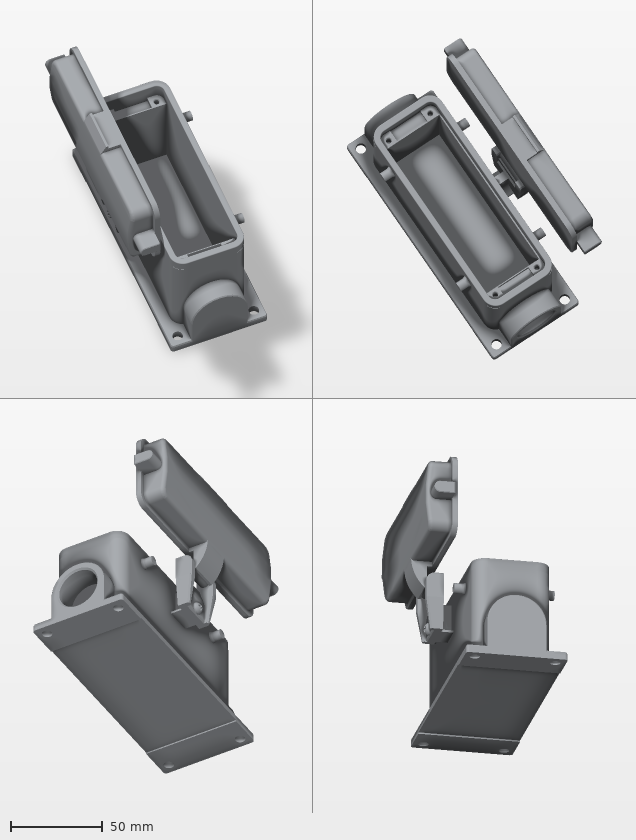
import cadquery as cq
import math


OVERLAP = 0.7

BASE_LENGTH = 144.0
BASE_WIDTH = 56.7
BASE_HEIGHT = 4.6
BASE_CORNER = 1.7
BASE_EDGE = 0.9
BASE_EDGE_INSET = 0.5
FOOT_RELIEF_LENGTH = 103.1
FOOT_RELIEF_DEPTH = 0.9
MOUNT_HOLE_X = 66.1
MOUNT_HOLE_Y = 22.5
MOUNT_HOLE_DIAMETER = 5.8

BOX_LENGTH = 120.5
BOX_WIDTH = 43.3
BOX_TOP = 60.9
BOX_CORNER = 7.5
COLLAR_CORNER = 7.9
COLLAR_BOTTOM = 55.5
RIM_EDGE = 0.5

MOUTH_LENGTH = 112.6
MOUTH_WIDTH = 36.3
MOUTH_CORNER = 4.3
SHELF_DROP = 8.6
SHELF_Z = BOX_TOP - SHELF_DROP
WELL_LENGTH = 97.3
WELL_STEP = 0.9
WELL_FLOOR = BASE_HEIGHT
SHELF_NOTCH_WIDTH = 19.9
SHELF_NOTCH_DEPTH = 2.9
SHELF_NOTCH_LIP = 0.6
SHELF_HOLE_X = 52.0
SHELF_HOLE_Y = 13.7
SHELF_HOLE_DIAMETER = 2.9
SHELF_HOLE_DEPTH = 8.6
SHELF_HOLE_FLARE = 0.5

HUB_AXIS_Z = 19.5
HUB_RADIUS = 16.5
HUB_EDGE = 0.6
ENTRY_RADIUS = 12.0
ENTRY_DEPTH = 15.1
ENTRY_CHAMFER = 1.0

PEG_X = 37.0
PEG_Z = 51.1
PEG_RADIUS = 2.7
PEG_END_Y = 28.0
PEG_ROOT_RADIUS = 3.3
PEG_ROOT_LENGTH = 1.6

BRACKET_BACK_Y = -28.4
BRACKET_FRONT_Y = -38.0
BRACKET_FOOT_Y = -35.3
BRACKET_BOTTOM = 36.9
BRACKET_BEND_Z = 54.6
BRACKET_TOP = 69.1
BRACKET_TOP_ROUND = 5.0
BRACKET_HALF_TOP = 14.0
BRACKET_HALF_BOTTOM = 11.7
HINGE_HALF_WIDTH = 8.8
CHEEK_CHAMFER = 0.9

PAD_Y = -33.4
PAD_TOP = 48.4
PAD_CHAMFER = 0.7
SEAT_STEPS = [(-32.7, 52.0), (-30.8, 57.5), (-30.4, 59.5)]
SEAT_BACK_Y = -29.5

SCREW_Z = 40.9
SCREW_RADIUS = 3.5
SCREW_RIM = 0.9
SCREW_TIP_Y = -36.6
CROSS_LENGTH = 4.3
CROSS_WIDTH = 1.3
CROSS_DEPTH = 1.2

ARM_HALF_WIDTH = 7.6
ARM_RIB_HALF = 2.5
ARM_PLATE = 1.3
ARM_ROOT_ROUND = 4.0
ARM_TOP = 54.7

COVER_Z = 97.3
FLANGE_LENGTH = 122.4
FLANGE_HEIGHT = 46.4
FLANGE_CORNER = 7.2
FLANGE_BACK_Y = -30.7
FLANGE_FRONT_Y = -33.8
SHELL_LENGTH = 115.8
SHELL_HEIGHT = 40.9
SHELL_CORNER = 5.0
SHELL_EDGE = 2.2
SHELL_ROOT = 0.5
CROWN_Y = -47.8
CROWN_DROP = 2.3

EAR_END_X = 68.8
EAR_RADIUS = 3.3
EAR_TIP_Y = -45.4
EAR_EDGE = 0.5

TOOTH_HALF_WIDTH = 12.1
TOOTH_FOOT_Z = 117.4
TOOTH_TOP = 122.5
TOOTH_BACK_Y = -40.9
TOOTH_FRONT_Y = -42.3

LEAF_BACK_Y = -36.6
LEAF_MIDDLE = (-43.3, 68.8)
LEAF_TIP = (-38.0, 61.6)
KNUCKLE_Y = -33.4
KNUCKLE_Z = 65.2
KNUCKLE_RADIUS = 3.5


def upright_block(length, width, bottom, top, corner):
    """Rounded block centred on the Z axis."""
    block = cq.Workplane("XY").workplane(offset=bottom).rect(length, width).extrude(top - bottom)
    return block.edges("|Z").fillet(corner)


def cover_block(length, height, back, front, corner):
    """Rounded block in the cover, growing towards -Y."""
    plane = cq.Workplane("XZ", origin=(0, back, COVER_Z))
    return plane.rect(length, height).extrude(back - front).edges("|Y").fillet(corner)


def across(points, half_width):
    """Prism along X from (Y, Z) points."""
    return cq.Workplane("YZ").polyline(points).close().extrude(half_width, both=True)


def base_plate():
    slope_angle = math.degrees(math.atan2(BASE_EDGE_INSET, BASE_EDGE))
    plate = upright_block(BASE_LENGTH, BASE_WIDTH, 0, BASE_HEIGHT - BASE_EDGE, BASE_CORNER)
    plate = plate.faces(">Z").wires().toPending().extrude(BASE_EDGE, taper=slope_angle)
    relief = cq.Workplane("XY").rect(FOOT_RELIEF_LENGTH, BASE_WIDTH).extrude(FOOT_RELIEF_DEPTH)
    holes = cq.Workplane("XY").rect(2 * MOUNT_HOLE_X, 2 * MOUNT_HOLE_Y, forConstruction=True).vertices()
    return plate.cut(relief).cut(holes.circle(MOUNT_HOLE_DIAMETER / 2).extrude(BASE_HEIGHT))


def hub(side):
    """Round-topped hub from inside the box wall out to the end of the base."""
    bottom = BASE_HEIGHT - BASE_EDGE
    wall_x = BOX_LENGTH / 2 - OVERLAP
    profile = (
        cq.Workplane("YZ", origin=(side * wall_x, 0, 0))
        .moveTo(-HUB_RADIUS, bottom)
        .lineTo(-HUB_RADIUS, HUB_AXIS_Z)
        .threePointArc((0, HUB_AXIS_Z + HUB_RADIUS), (HUB_RADIUS, HUB_AXIS_Z))
        .lineTo(HUB_RADIUS, bottom)
        .close()
    )
    solid = profile.extrude(side * (BASE_LENGTH / 2 - wall_x))
    end_face = solid.faces(">X" if side > 0 else "<X")
    return end_face.edges("not <Z").chamfer(HUB_EDGE)


def cable_entry():
    """Blind round entry with a chamfered mouth, opening at the -X end."""
    mouth = cq.Workplane("YZ", origin=(-BASE_LENGTH / 2, 0, HUB_AXIS_Z))
    bore = mouth.circle(ENTRY_RADIUS).extrude(ENTRY_DEPTH)
    flare = mouth.circle(ENTRY_RADIUS + ENTRY_CHAMFER).extrude(ENTRY_CHAMFER, taper=45)
    return bore.union(flare)


def housing_box():
    box = upright_block(BOX_LENGTH, BOX_WIDTH, BASE_HEIGHT - OVERLAP, COLLAR_BOTTOM, BOX_CORNER)
    collar = upright_block(BOX_LENGTH, BOX_WIDTH, COLLAR_BOTTOM, BOX_TOP, COLLAR_CORNER)
    mouth = upright_block(MOUTH_LENGTH, MOUTH_WIDTH, SHELF_Z, BOX_TOP, MOUTH_CORNER)
    box = box.union(collar).cut(mouth)
    return box.faces(">Z").edges().fillet(RIM_EDGE)


def cavity_well():
    """Deep well between the end shelves, with the notches and screw holes of the shelves."""
    depth = SHELF_Z - WELL_FLOOR
    shelf = cq.Workplane("XY").workplane(offset=SHELF_Z)
    well_width = MOUTH_WIDTH - WELL_STEP
    well = shelf.center(0, WELL_STEP / 2).rect(WELL_LENGTH, well_width).extrude(-depth)
    notch_end = WELL_LENGTH / 2 + SHELF_NOTCH_LIP
    for side in (-1, 1):
        notch_length = MOUTH_LENGTH / 2 - notch_end
        notch = shelf.center(side * (notch_end + notch_length / 2), 0).rect(notch_length, SHELF_NOTCH_WIDTH)
        well = well.union(notch.extrude(-SHELF_NOTCH_DEPTH))
    hole_radius = SHELF_HOLE_DIAMETER / 2
    holes = shelf.rect(2 * SHELF_HOLE_X, 2 * SHELF_HOLE_Y, forConstruction=True).vertices()
    flares = holes.circle(hole_radius + SHELF_HOLE_FLARE).extrude(-SHELF_HOLE_FLARE, taper=45)
    return well.union(holes.circle(hole_radius).extrude(-SHELF_HOLE_DEPTH)).union(flares)


def peg(x, side):
    """Locking peg with a conical root."""
    wall = BOX_WIDTH / 2
    half_profile = [
        (0, wall - OVERLAP),
        (PEG_ROOT_RADIUS, wall - OVERLAP),
        (PEG_ROOT_RADIUS, wall),
        (PEG_RADIUS, wall + PEG_ROOT_LENGTH),
        (PEG_RADIUS, PEG_END_Y),
        (0, PEG_END_Y),
    ]
    turned = cq.Workplane("XY").polyline(half_profile).close().revolve(360, (0, 0, 0), (0, 1, 0))
    if side < 0:
        turned = turned.mirror("XZ")
    return turned.translate((x, 0, PEG_Z))


def bracket():
    """Two tapered cheeks joined by a web with a screw pad and a seat above it."""
    side_profile = [
        (BRACKET_BACK_Y, BRACKET_BOTTOM),
        (BRACKET_FOOT_Y, BRACKET_BOTTOM),
        (BRACKET_FRONT_Y, BRACKET_BEND_Z),
        (BRACKET_FRONT_Y, BRACKET_TOP),
        (BRACKET_BACK_Y, BRACKET_TOP),
    ]
    body = across(side_profile, BRACKET_HALF_TOP)
    body = body.edges("|X and >Z and <Y").fillet(BRACKET_TOP_ROUND)
    outline = (
        cq.Workplane("XZ")
        .moveTo(-BRACKET_HALF_BOTTOM, BRACKET_BOTTOM)
        .lineTo(BRACKET_HALF_BOTTOM, BRACKET_BOTTOM)
        .lineTo(BRACKET_HALF_TOP, BRACKET_BEND_Z)
        .lineTo(BRACKET_HALF_TOP, BRACKET_TOP)
        .lineTo(-BRACKET_HALF_TOP, BRACKET_TOP)
        .lineTo(-BRACKET_HALF_TOP, BRACKET_BEND_Z)
        .close()
        .extrude(-BRACKET_FRONT_Y)
    )
    gap = cq.Workplane("XY").box(2 * HINGE_HALF_WIDTH, BASE_LENGTH, BASE_LENGTH)
    cheeks = body.intersect(outline).cut(gap)
    front = cq.selectors.BoxSelector(
        (-BASE_LENGTH, BRACKET_FRONT_Y - OVERLAP, BRACKET_BOTTOM + OVERLAP),
        (BASE_LENGTH, BRACKET_FOOT_Y - OVERLAP, BRACKET_TOP - BRACKET_TOP_ROUND),
    )
    cheeks = cheeks.edges(front).edges("not |X").chamfer(CHEEK_CHAMFER)

    web_profile = [
        (BRACKET_BACK_Y, BRACKET_BOTTOM),
        (PAD_Y + PAD_CHAMFER, BRACKET_BOTTOM),
        (PAD_Y, BRACKET_BOTTOM + PAD_CHAMFER),
        (PAD_Y, PAD_TOP),
        *SEAT_STEPS,
        (SEAT_BACK_Y, SEAT_STEPS[-1][1]),
        (SEAT_BACK_Y, ARM_TOP),
        (BRACKET_BACK_Y, ARM_TOP),
    ]
    return cheeks.union(across(web_profile, HINGE_HALF_WIDTH))


def bracket_screw():
    """Domed screw head with a cross recess."""
    rim_y = PAD_Y - SCREW_RIM
    dome_height = rim_y - SCREW_TIP_Y
    dome_radius = (SCREW_RADIUS**2 + dome_height**2) / (2 * dome_height)
    half_angle = math.asin(SCREW_RADIUS / dome_radius) / 2
    dome_middle = (
        dome_radius * math.sin(half_angle),
        SCREW_TIP_Y + dome_radius * (1 - math.cos(half_angle)),
    )
    head = (
        cq.Workplane("XY")
        .moveTo(0, PAD_Y + OVERLAP)
        .lineTo(SCREW_RADIUS, PAD_Y + OVERLAP)
        .lineTo(SCREW_RADIUS, rim_y)
        .threePointArc(dome_middle, (0, SCREW_TIP_Y))
        .close()
        .revolve(360, (0, 0, 0), (0, 1, 0))
    )
    for length, height in ((CROSS_LENGTH, CROSS_WIDTH), (CROSS_WIDTH, CROSS_LENGTH)):
        slot = cq.Workplane("XZ", origin=(0, SCREW_TIP_Y, 0)).rect(length, height)
        head = head.cut(slot.extrude(-CROSS_DEPTH))
    return head.translate((0, 0, SCREW_Z))


def bracket_arm():
    """Upright rib on a flat plate, with hollow rounds in both corners."""
    wall = -BOX_WIDTH / 2 + OVERLAP
    length = wall - BRACKET_BACK_Y + OVERLAP
    height = ARM_TOP - BRACKET_BOTTOM
    start = cq.Workplane("XZ", origin=(0, wall, BRACKET_BOTTOM))
    plate = start.center(0, ARM_PLATE / 2).rect(2 * ARM_HALF_WIDTH, ARM_PLATE).extrude(length)
    rib = start.center(0, height / 2).rect(2 * ARM_RIB_HALF, height).extrude(length)
    corners = cq.selectors.BoxSelector(
        (-ARM_RIB_HALF - OVERLAP, BRACKET_BACK_Y - 2 * OVERLAP, BRACKET_BOTTOM + ARM_PLATE / 2),
        (ARM_RIB_HALF + OVERLAP, wall, BRACKET_BOTTOM + 2 * ARM_PLATE),
    )
    return plate.union(rib).edges("|Y").edges(corners).fillet(ARM_ROOT_ROUND)


def crown_point(z):
    """Point (Y, Z) on the arc of the cover front."""
    half_height = SHELL_HEIGHT / 2
    radius = (half_height**2 + CROWN_DROP**2) / (2 * CROWN_DROP)
    return (CROWN_Y + radius - math.sqrt(radius**2 - (z - COVER_Z) ** 2), z)


def cover_shell():
    """Rounded shell with a crowned front, on its flat flange."""
    flange = cover_block(FLANGE_LENGTH, FLANGE_HEIGHT, FLANGE_BACK_Y, FLANGE_FRONT_Y, FLANGE_CORNER)
    back = FLANGE_BACK_Y - OVERLAP
    block = cover_block(SHELL_LENGTH, SHELL_HEIGHT, back, CROWN_Y - OVERLAP, SHELL_CORNER)
    bottom = COVER_Z - SHELL_HEIGHT / 2
    top = COVER_Z + SHELL_HEIGHT / 2
    crown = (
        cq.Workplane("YZ")
        .moveTo(back, bottom)
        .lineTo(*crown_point(bottom))
        .threePointArc(crown_point(COVER_Z), crown_point(top))
        .lineTo(back, top)
        .close()
        .extrude(SHELL_LENGTH, both=True)
    )
    shell = block.intersect(crown).faces("<Y").edges().fillet(SHELL_EDGE)
    cover = flange.union(shell)
    shell_root = cq.selectors.BoxSelector(
        (-SHELL_LENGTH / 2 - SHELL_ROOT, FLANGE_FRONT_Y - SHELL_ROOT, bottom - SHELL_ROOT),
        (SHELL_LENGTH / 2 + SHELL_ROOT, FLANGE_FRONT_Y + SHELL_ROOT, top + SHELL_ROOT),
    )
    return cover.edges(shell_root).fillet(SHELL_ROOT)


def ears():
    """Bar through both ends of the cover, rounded along its front."""
    flat_back = FLANGE_FRONT_Y
    round_y = EAR_TIP_Y + EAR_RADIUS
    bar = (
        cq.Workplane("YZ", origin=(-EAR_END_X, 0, COVER_Z))
        .moveTo(flat_back, -EAR_RADIUS)
        .lineTo(round_y, -EAR_RADIUS)
        .threePointArc((EAR_TIP_Y, 0), (round_y, EAR_RADIUS))
        .lineTo(flat_back, EAR_RADIUS)
        .close()
        .extrude(2 * EAR_END_X)
    )
    bar = bar.faces("<X or >X").edges().chamfer(EAR_EDGE)
    root_profile = [
        (flat_back + OVERLAP, COVER_Z - EAR_RADIUS - SHELL_ROOT),
        (flat_back, COVER_Z - EAR_RADIUS - SHELL_ROOT),
        (flat_back - SHELL_ROOT, COVER_Z - EAR_RADIUS),
        (flat_back - SHELL_ROOT, COVER_Z + EAR_RADIUS),
        (flat_back, COVER_Z + EAR_RADIUS + SHELL_ROOT),
        (flat_back + OVERLAP, COVER_Z + EAR_RADIUS + SHELL_ROOT),
    ]
    return bar.union(across(root_profile, FLANGE_LENGTH / 2))


def latch_tooth():
    """Tooth on the upper edge, running out into the crowned front."""
    root_z = COVER_Z + SHELL_HEIGHT / 2 - SHELL_EDGE
    flange_top = COVER_Z + FLANGE_HEIGHT / 2
    back_y = FLANGE_FRONT_Y + OVERLAP
    tooth = (
        cq.Workplane("YZ")
        .moveTo(back_y, root_z)
        .lineTo(back_y, flange_top)
        .lineTo(TOOTH_BACK_Y, flange_top)
        .lineTo(TOOTH_BACK_Y, TOOTH_TOP)
        .lineTo(TOOTH_FRONT_Y, TOOTH_TOP)
        .lineTo(*crown_point(TOOTH_FOOT_Z))
        .threePointArc(crown_point((TOOTH_FOOT_Z + root_z) / 2), crown_point(root_z))
        .close()
    )
    return tooth.extrude(TOOTH_HALF_WIDTH, both=True)


def hinge_leaf():
    """Leaf hanging from the cover, with a knuckle between the bracket cheeks."""
    flange_bottom = COVER_Z - FLANGE_HEIGHT / 2
    shell_bottom = COVER_Z - SHELL_HEIGHT / 2
    root_z = shell_bottom + SHELL_EDGE
    root_y = FLANGE_FRONT_Y + OVERLAP
    leaf = (
        cq.Workplane("YZ")
        .moveTo(root_y, root_z)
        .lineTo(*crown_point(root_z))
        .threePointArc(crown_point(root_z - SHELL_EDGE / 2), crown_point(shell_bottom))
        .threePointArc(LEAF_MIDDLE, LEAF_TIP)
        .lineTo(LEAF_BACK_Y, LEAF_TIP[1])
        .lineTo(LEAF_BACK_Y, flange_bottom)
        .lineTo(root_y, flange_bottom)
        .close()
        .extrude(HINGE_HALF_WIDTH, both=True)
    )
    knuckle = cq.Workplane("YZ").center(KNUCKLE_Y, KNUCKLE_Z).circle(KNUCKLE_RADIUS)
    return leaf.union(knuckle.extrude(HINGE_HALF_WIDTH, both=True))


housing = base_plate().union(housing_box()).union(hub(-1)).union(hub(1))
housing = housing.cut(cavity_well()).cut(cable_entry())
for peg_x in (-PEG_X, PEG_X):
    for peg_side in (-1, 1):
        housing = housing.union(peg(peg_x, peg_side))

hinge = bracket().union(bracket_screw()).union(bracket_arm())
cover = cover_shell().union(ears()).union(latch_tooth()).union(hinge_leaf())

result = housing.union(hinge).union(cover)